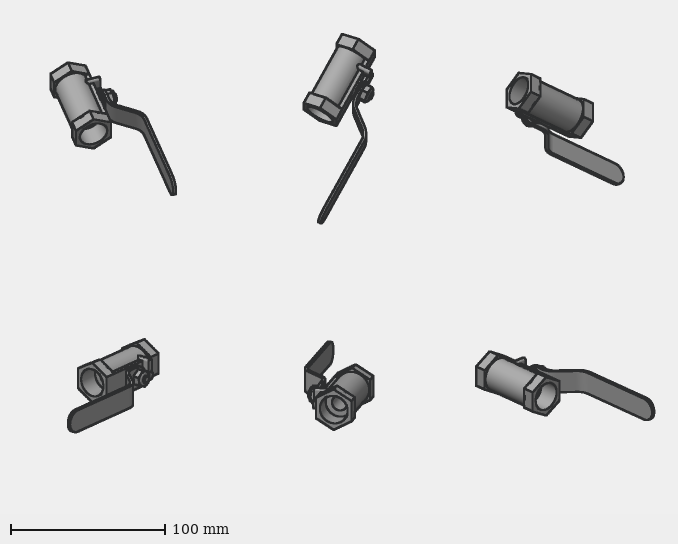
import cadquery as cq
import math


overall_length = 118.0
body_length = 53.1
body_radius = 11.3
end_hex_length = 8.0
end_hex_corners = 27.7
port_radius = 9.3
port_depth = 14.2
bore_radius = 5.1
pad_height = end_hex_corners * math.sqrt(3) / 4
pad_width = end_hex_corners / 2

flange_radius = 6.5
flange_thickness = 1.8
collar_radius = 5.5
collar_thickness = 1.4
nut_corner_radius = 5.9
nut_turn = 8.0
nut_height = 4.2
crown_radius = 5.0
crown_height = 1.4
crown_round = 1.3
tip_radius = 2.5
tip_height = 1.1
tip_chamfer = 0.2

lever_width = 15.0
lever_thickness = 2.0
lever_top = 34.9
bend_start = 6.7
bend_angle = math.radians(50)
bend_radius = 10.4
plate_back = -6.6
arm_tip = -14.5
arm_top = -0.2
arm_bottom = -5.3

tab_width = 3.7
tab_center_x = -11.9
tab_top = 8.8
tab_bottom = -0.5
tab_drop = 0.4
tab_end = 5.9

body_start = -body_length / 2
lever_end = body_start + overall_length
half_width = lever_width / 2
flange_top = pad_height + flange_thickness
plate_bottom = flange_top + collar_thickness
plate_top = plate_bottom + lever_thickness
nut_top = plate_top + nut_height
crown_top = nut_top + crown_height


def plane_at(height):
    """Plane across the stem: local x is X, local y is Z, extruding by -d goes toward +Y."""
    return cq.Workplane("XZ", origin=(0, height, 0))


def stem_disc(radius, height, thickness):
    return plane_at(height).circle(radius).extrude(-thickness)


def make_body():
    body = cq.Workplane("YZ", origin=(body_start, 0, 0)).circle(body_radius).extrude(body_length)
    pad = cq.Workplane("XY").box(body_length, pad_height, pad_width).translate((0, pad_height / 2, 0))
    body = body.union(pad)
    for start in (body_start, -body_start - end_hex_length):
        end_hex = (
            cq.Workplane("YZ", origin=(start, 0, 0))
            .transformed(rotate=(0, 0, 90))
            .polygon(6, end_hex_corners)
            .extrude(end_hex_length)
        )
        body = body.union(end_hex)
    return body


def make_flow_path():
    """Bore with a wider port at each end."""
    flow_path = cq.Workplane("YZ", origin=(body_start, 0, 0)).circle(bore_radius).extrude(body_length)
    for start in (body_start, -body_start - port_depth):
        port = cq.Workplane("YZ", origin=(start, 0, 0)).circle(port_radius).extrude(port_depth)
        flow_path = flow_path.union(port)
    return flow_path


def make_stem():
    flange = stem_disc(flange_radius, pad_height, flange_thickness)
    collar = stem_disc(collar_radius, flange_top, collar_thickness)
    nut = (
        plane_at(plate_top)
        .transformed(rotate=(0, 0, 90 - nut_turn))
        .polygon(6, 2 * nut_corner_radius)
        .extrude(-nut_height)
    )
    crown = stem_disc(crown_radius, nut_top, crown_height).faces(">Y").edges().fillet(crown_round)
    tip = stem_disc(tip_radius, crown_top, tip_height).faces(">Y").edges().chamfer(tip_chamfer)
    return flange.union(collar).union(nut).union(crown).union(tip)


def make_lever_plate():
    """Flat plate under the nut, with a round-ended arm reaching toward -X."""
    upper_radius = half_width - arm_top
    lower_radius = half_width + arm_bottom
    arm_radius = (arm_top - arm_bottom) / 2
    arm_center_x = arm_tip + arm_radius
    arm_center_z = (arm_top + arm_bottom) / 2
    diagonal = math.sqrt(0.5)
    upper_mid = (
        plate_back + upper_radius * (1 - diagonal),
        arm_top + upper_radius * diagonal,
    )
    lower_mid = (
        plate_back + lower_radius * (1 - diagonal),
        arm_bottom - lower_radius * diagonal,
    )
    return (
        plane_at(plate_bottom)
        .moveTo(bend_start, half_width)
        .lineTo(plate_back + upper_radius, half_width)
        .threePointArc(upper_mid, (plate_back, arm_top))
        .lineTo(arm_center_x, arm_top)
        .threePointArc((arm_tip, arm_center_z), (arm_center_x, arm_bottom))
        .lineTo(plate_back, arm_bottom)
        .threePointArc(lower_mid, (plate_back + lower_radius, -half_width))
        .lineTo(bend_start, -half_width)
        .close()
        .extrude(-lever_thickness)
    )


def make_lever_grip():
    """Strip cranked up by two equal and opposite bends, then straight to a round end."""
    half_thickness = lever_thickness / 2
    outer_radius = bend_radius + half_thickness
    inner_radius = bend_radius - half_thickness
    rise = lever_top - plate_top
    slope_length = (rise - 2 * bend_radius * (1 - math.cos(bend_angle))) / math.sin(bend_angle)
    run = 2 * bend_radius * math.sin(bend_angle) + slope_length * math.cos(bend_angle)
    first_center = (bend_start, plate_bottom + outer_radius)
    second_center = (bend_start + run, lever_top - outer_radius)

    def on_first(radius, angle):
        return (
            first_center[0] + radius * math.sin(angle),
            first_center[1] - radius * math.cos(angle),
        )

    def on_second(radius, angle):
        return (
            second_center[0] - radius * math.sin(angle),
            second_center[1] + radius * math.cos(angle),
        )

    half_angle = bend_angle / 2
    strip = (
        cq.Workplane("XY", origin=(0, 0, -half_width))
        .moveTo(*on_first(outer_radius, 0))
        .threePointArc(on_first(outer_radius, half_angle), on_first(outer_radius, bend_angle))
        .lineTo(*on_second(inner_radius, bend_angle))
        .threePointArc(on_second(inner_radius, half_angle), on_second(inner_radius, 0))
        .lineTo(lever_end, lever_top - lever_thickness)
        .lineTo(lever_end, lever_top)
        .lineTo(*on_second(outer_radius, 0))
        .threePointArc(on_second(outer_radius, half_angle), on_second(outer_radius, bend_angle))
        .lineTo(*on_first(inner_radius, bend_angle))
        .threePointArc(on_first(inner_radius, half_angle), on_first(inner_radius, 0))
        .close()
        .extrude(lever_width)
    )
    end_center_x = lever_end - half_width
    round_end = (
        plane_at(plate_bottom)
        .moveTo(bend_start, -half_width)
        .lineTo(end_center_x, -half_width)
        .threePointArc((lever_end, 0), (end_center_x, half_width))
        .lineTo(bend_start, half_width)
        .close()
        .extrude(plate_bottom - lever_top)
    )
    return strip.intersect(round_end)


def make_stop_tab():
    """Obround finger that overhangs the pad on its +Z side and runs into the body wall."""
    return (
        plane_at(tab_end)
        .center(tab_center_x, (tab_top + tab_bottom) / 2)
        .slot2D(tab_top - tab_bottom, tab_width, 90)
        .extrude(tab_end + tab_drop - plate_top)
    )


result = (
    make_body()
    .union(make_stem())
    .union(make_lever_plate())
    .union(make_lever_grip())
    .union(make_stop_tab())
    .cut(make_flow_path())
)